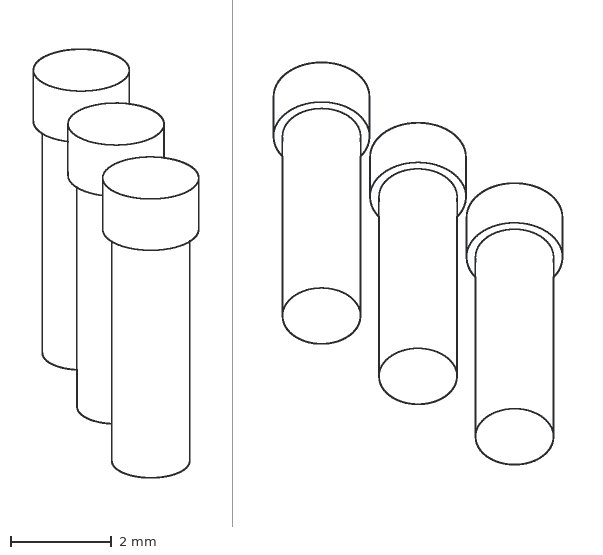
import cadquery as cq

total_length = 6.99
total_height = 6.24

pin_count = 3
head_diameter = 1.91
head_height = 1.13
shaft_diameter = 1.55
shaft_height = total_height - head_height
pin_pitch = (total_length - head_diameter) / (pin_count - 1)


def make_shaft(x):
    """Plain round shaft standing on the base plane."""
    return cq.Workplane("XY").center(x, 0).circle(shaft_diameter / 2).extrude(shaft_height)


def make_head(x):
    """Round head seated on the flat top of the shaft."""
    head_plane = cq.Workplane("XY").workplane(offset=shaft_height)
    return head_plane.center(x, 0).circle(head_diameter / 2).extrude(head_height)


bodies = []
for index in range(pin_count):
    pin_x = (index - (pin_count - 1) / 2) * pin_pitch
    bodies.append(make_shaft(pin_x).val())
    bodies.append(make_head(pin_x).val())

result = cq.Compound.makeCompound(bodies)